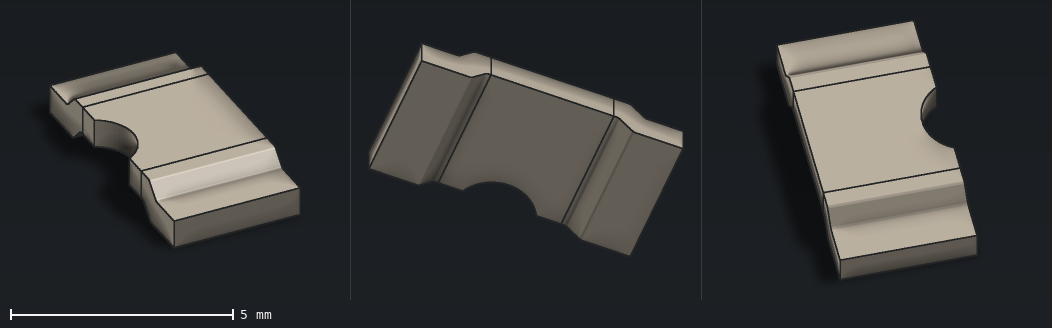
import cadquery as cq
import math

length = 6.35
depth = 3.17
height = 1.09

thickness = 0.72
bend_radius = 0.13
bend_angle = 45.0
foot_length = 0.91
element_length = 2.985

notch_radius = 1.005
notch_depth = 0.54

step = height - thickness
half_length = length / 2
half_element = element_length / 2
slope_run = step / math.tan(math.radians(bend_angle))
bend_shift = thickness * math.tan(math.radians(bend_angle / 2))


def make_terminal(side):
    """Bent terminal with a low outer foot; side is -1 for the -X end, +1 for the +X end."""
    upper_foot = half_length - foot_length
    upper_top = upper_foot - slope_run
    lower_foot = upper_foot - bend_shift
    lower_top = upper_top - bend_shift
    outline = [
        (half_length, 0),
        (half_length, thickness),
        (upper_foot, thickness),
        (upper_top, height),
        (half_element, height),
        (half_element, step),
        (lower_top, step),
        (lower_foot, 0),
    ]
    terminal = (
        cq.Workplane("XZ")
        .polyline([(side * x, z) for x, z in outline])
        .close()
        .extrude(depth / 2, both=True)
    )
    bend_corners = [(upper_foot, thickness), (upper_top, height), (lower_top, step), (lower_foot, 0)]
    for x, z in bend_corners:
        bend_edge = cq.selectors.NearestToPointSelector((side * x, 0, z))
        terminal = terminal.edges("|Y").edges(bend_edge).fillet(bend_radius)
    return terminal


def make_element():
    """Raised flat centre body with a round notch through its -Y edge."""
    plate = cq.Workplane("XY").workplane(offset=step).rect(element_length, depth).extrude(thickness)
    notch_center_y = -depth / 2 + notch_depth - notch_radius
    notch = (
        cq.Workplane("XY")
        .workplane(offset=step)
        .center(0, notch_center_y)
        .circle(notch_radius)
        .extrude(thickness)
    )
    return plate.cut(notch)


element = make_element()
terminals = [make_terminal(side) for side in (-1, 1)]

result = cq.Compound.makeCompound([element.val(), *[terminal.val() for terminal in terminals]])